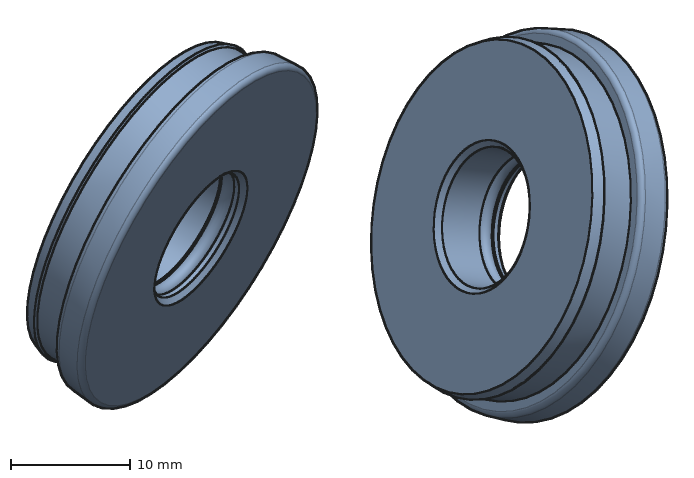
import cadquery as cq
import math

ridge_x = 1.0
neck_x = 1.2
flange_x = 4.0
total_length = 7.0

front_radius = 15.0
ridge_radius = 15.35
neck_radius = 15.15
flange_back_radius = 16.65
flange_taper = 0.15
flange_round = 0.5

bore_radius = 6.0
bore_chamfer = 0.5

ring_section_radius = 0.75
ring_crest_radius = 5.75
ring_center_radius = ring_crest_radius + ring_section_radius
ring_center_x = 5.25
groove_front_x = ring_center_x - ring_section_radius
groove_back_x = ring_center_x + ring_section_radius
groove_radius = ring_center_radius + ring_section_radius


def revolve_about_x(profile):
    """Turn a profile drawn in the XZ plane a full circle about the X axis."""
    return profile.revolve(360, (0, 0, 0), (1, 0, 0))


def make_housing():
    """Flanged plug with a snap ridge, a chamfered bore and an O-ring groove."""
    flange_front_radius = flange_back_radius - flange_taper
    round_diagonal = flange_round * math.sqrt(0.5)

    front_round_x = flange_x + flange_round
    front_round_radius = flange_front_radius - flange_round
    back_round_x = total_length - flange_round
    back_round_radius = flange_back_radius - flange_round

    profile = (
        cq.Workplane("XZ")
        .moveTo(0, bore_radius + bore_chamfer)
        .lineTo(0, front_radius)
        .lineTo(ridge_x, ridge_radius)
        .lineTo(neck_x, neck_radius)
        .lineTo(flange_x, neck_radius)
        .lineTo(flange_x, front_round_radius)
        .threePointArc(
            (front_round_x - round_diagonal, front_round_radius + round_diagonal),
            (front_round_x, flange_front_radius),
        )
        .lineTo(back_round_x, flange_back_radius)
        .threePointArc(
            (back_round_x + round_diagonal, back_round_radius + round_diagonal),
            (total_length, back_round_radius),
        )
        .lineTo(total_length, bore_radius + bore_chamfer)
        .lineTo(total_length - bore_chamfer, bore_radius)
        .lineTo(groove_back_x, bore_radius)
        .lineTo(groove_back_x, groove_radius)
        .lineTo(groove_front_x, groove_radius)
        .lineTo(groove_front_x, bore_radius)
        .lineTo(bore_chamfer, bore_radius)
        .close()
    )
    return revolve_about_x(profile)


def make_o_ring():
    """Round-section ring that touches the walls and floor of its groove."""
    section = (
        cq.Workplane("XZ")
        .center(ring_center_x, ring_center_radius)
        .circle(ring_section_radius)
    )
    return section.revolve(360, (0, -ring_center_radius, 0), (1, -ring_center_radius, 0))


housing = make_housing()
o_ring = make_o_ring()
result = cq.Compound.makeCompound([housing.val(), o_ring.val()])